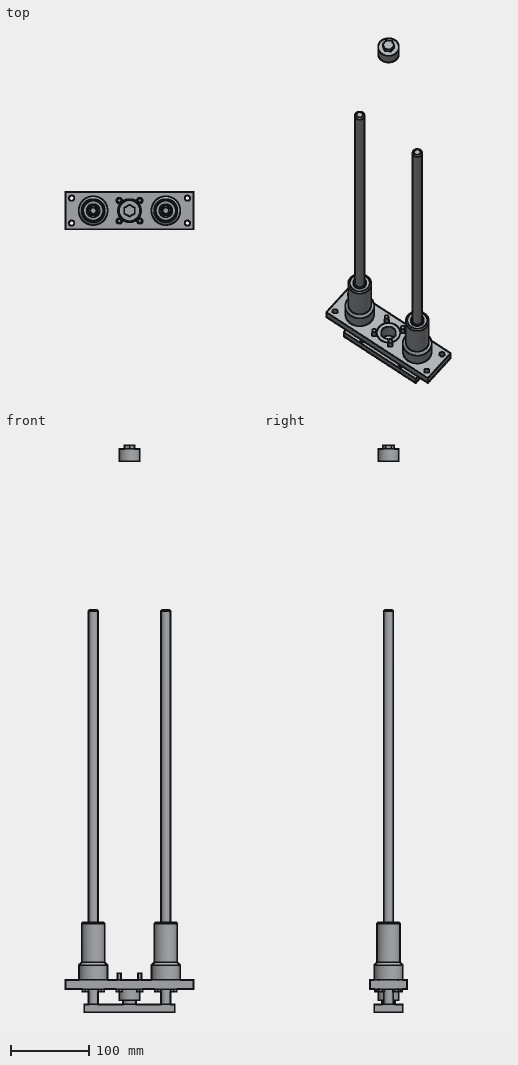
import cadquery as cq
import math

base_length = 116.0
base_width = 37.0
base_thickness = 10.0
base_hole_diameter = 5.0
base_hole_x = 31.0
base_hole_y = 14.5
rod_diameter = 12.0
rod_spacing = 93.0
rod_top = 515.0
rod_chamfer = 2.0
stem_diameter = 17.0

carriage_length = 164.0
carriage_width = 48.0
carriage_thickness = 11.5
carriage_bottom = 30.0
carriage_top = carriage_bottom + carriage_thickness
carriage_hole_diameter = 6.5
carriage_hole_inset = 8.0

bushing_diameter = 30.0
bushing_top = 115.5
bushing_chamfer = 2.0
mouth_diameter = 17.0
mouth_depth = 1.0
collar_diameter = 37.0
collar_height = 22.5
collar_chamfer = (collar_diameter - bushing_diameter) / 2

head_diameter = 27.0
head_bore = 19.0
head_bottom = 15.0
head_floor_thickness = 4.0
recess_diameter = 30.0
recess_depth = 0.35

nut_flats = 8.0
nut_height = 3.5
nut_bottom = carriage_bottom - nut_height
screw_diameter = 5.0
screw_hole_diameter = 6.5
screw_protrusion = 9.0
head_bolt_circle = 37.0
bushing_bolt_circle = 29.0

overall_height = 726.0
cap_diameter = head_diameter
cap_height = 16.0
cap_hex_flats = 13.0
cap_hex_height = 5.0

rod_centers = [(-rod_spacing / 2, 0), (rod_spacing / 2, 0)]


def plate(length, width, bottom, thickness):
    """Rectangular plate centred on the Z axis."""
    return cq.Workplane("XY", origin=(0, 0, bottom)).rect(length, width).extrude(thickness)


def cylinder(diameter, bottom, top, centers=((0, 0),)):
    """Upright cylinders between two heights."""
    return (
        cq.Workplane("XY", origin=(0, 0, bottom))
        .pushPoints(centers)
        .circle(diameter / 2)
        .extrude(top - bottom)
    )


def hexagon(flats, bottom, height, centers=((0, 0),)):
    """Upright hexagonal prisms with flats facing +X and -X."""
    corner_angles = [math.radians(30 + 60 * i) for i in range(6)]
    corner_radius = flats / math.sqrt(3)
    prisms = cq.Workplane("XY")
    for x, y in centers:
        corners = [
            (x + corner_radius * math.cos(a), y + corner_radius * math.sin(a)) for a in corner_angles
        ]
        prism = cq.Workplane("XY", origin=(0, 0, bottom)).polyline(corners).close().extrude(height)
        prisms = prisms.add(prism)
    return prisms.combine()


def mirrored_points(x, y):
    """The four points at +-x, +-y."""
    return [(side_x * x, side_y * y) for side_x in (-1, 1) for side_y in (-1, 1)]


def bolt_points(circle_diameter, center_x=0):
    """Four points on the diagonals of a bolt circle."""
    offset = circle_diameter / 2 / math.sqrt(2)
    return [(center_x + x, y) for x, y in mirrored_points(offset, offset)]


def make_base():
    """Base plate carrying the guide rods and the stem below the cylinder head."""
    base_plate = plate(base_length, base_width, 0, base_thickness)
    hole_points = mirrored_points(base_hole_x, base_hole_y)
    holes = cylinder(base_hole_diameter, 0, base_thickness, hole_points)
    rods = cylinder(rod_diameter, base_thickness, rod_top, rod_centers)
    rods = rods.faces(">Z").edges().chamfer(rod_chamfer)
    stem = cylinder(stem_diameter, base_thickness, head_bottom)
    return base_plate.cut(holes).union(rods).union(stem)


def make_bushing(center):
    """Guide bushing with its collar; the rod bore is cut with the carriage."""
    collar_top = carriage_top + collar_height
    collar_foot = cylinder(collar_diameter, carriage_top, collar_top - collar_chamfer, [center])
    collar_cone = (
        cq.Workplane("XY", origin=(*center, collar_top - collar_chamfer))
        .circle(collar_diameter / 2)
        .workplane(offset=collar_chamfer)
        .circle(bushing_diameter / 2)
        .loft(ruled=True)
    )
    sleeve = cylinder(bushing_diameter, carriage_top, bushing_top, [center])
    sleeve = sleeve.faces(">Z").edges().chamfer(bushing_chamfer)
    mouth = cylinder(mouth_diameter, bushing_top - mouth_depth, bushing_top, [center])
    return sleeve.union(collar_foot).union(collar_cone).cut(mouth)


def add_bushings(carriage):
    """Both bushings with the nuts of their screws, bored for the guide rods."""
    for center in rod_centers:
        nut_points = bolt_points(bushing_bolt_circle, center[0])
        carriage = carriage.union(make_bushing(center))
        carriage = carriage.union(hexagon(nut_flats, nut_bottom, nut_height, nut_points))
    return carriage.cut(cylinder(rod_diameter, carriage_bottom, bushing_top, rod_centers))


def add_head_screws(carriage):
    """Screws in clearance holes around the head, held by nuts below the plate."""
    points = bolt_points(head_bolt_circle)
    holes = cylinder(screw_hole_diameter, carriage_bottom, carriage_top, points)
    nuts = hexagon(nut_flats, nut_bottom, nut_height, points)
    screws = cylinder(screw_diameter, carriage_bottom, carriage_top + screw_protrusion, points)
    return carriage.cut(holes).union(nuts).union(screws)


def add_cylinder_head(carriage):
    """Blind-bored head below the plate, with a shallow recess around its bore."""
    head = cylinder(head_diameter, head_bottom, carriage_top)
    recess = cylinder(recess_diameter, carriage_top - recess_depth, carriage_top)
    bore = cylinder(head_bore, head_bottom + head_floor_thickness, carriage_top)
    return carriage.union(head).cut(recess).cut(bore)


def make_carriage():
    """Carriage plate with corner holes, bushings, head screws and cylinder head."""
    hole_points = mirrored_points(
        carriage_length / 2 - carriage_hole_inset,
        carriage_width / 2 - carriage_hole_inset,
    )
    corner_holes = cylinder(carriage_hole_diameter, carriage_bottom, carriage_top, hole_points)
    carriage = plate(carriage_length, carriage_width, carriage_bottom, carriage_thickness)
    carriage = add_bushings(carriage.cut(corner_holes))
    carriage = add_head_screws(carriage)
    return add_cylinder_head(carriage)


def make_cap():
    """Round end cap with a hexagon on top."""
    hex_bottom = overall_height - cap_hex_height
    body = cylinder(cap_diameter, hex_bottom - cap_height, hex_bottom)
    return body.union(hexagon(cap_hex_flats, hex_bottom, cap_hex_height))


base = make_base()
carriage = make_carriage()
cap = make_cap()
bodies = [base, carriage, cap]
result = cq.Compound.makeCompound([body.solids().val() for body in bodies])